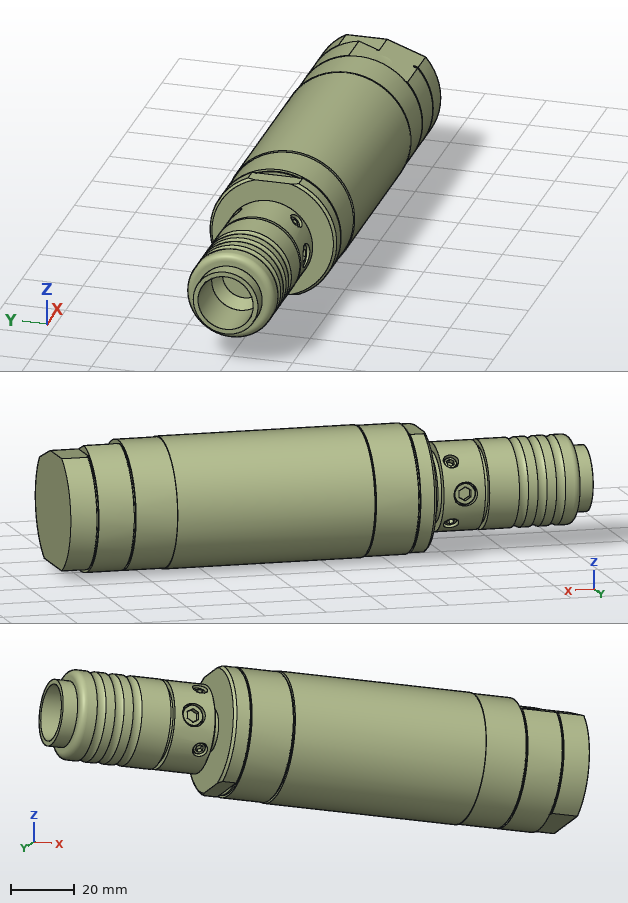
import cadquery as cq
import math

LENGTH = 173.5

NOSE_DIA = 21.2
BORE_DIA = 18.0
BORE_END_DIA = 13.9
BORE_DEPTH = 20.8
BORE_TAPER_LENGTH = 5.2

SLEEVE_START = 4.9
SLEEVE_END = 34.9
SLEEVE_DIA = 28.6
SLEEVE_ROUND = 2.0
RIB_GROOVE_COUNT = 3
RIB_GROOVE_FIRST = 10.0
RIB_GROOVE_PITCH = 6.0
RIB_GROOVE_WIDTH = 3.0
RIB_GROOVE_DEPTH = 0.5

COLLAR_START = 36.3
COLLAR_END = 49.8
COLLAR_DIA = 28.5
SLEEVE_GROOVE_DIA = 25.0
STEP_END = 51.0
STEP_DIA = 23.0
NECK_DIA = 14.0

HEAD_START = 53.8
HEAD_CHAMFER = 0.9
HEAD_END = 59.2
GRIP_START = 74.3
GRIP_END = 138.6
CAP_START = 152.2
WRENCH_START = 164.3
BODY_DIA = 41.5
GRIP_DIA = 42.0
BODY_GROOVE_DIA = 40.0
BODY_GROOVE_WIDTH = 0.6
BODY_GROOVE_STARTS = [
    HEAD_END,
    GRIP_START - BODY_GROOVE_WIDTH,
    CAP_START,
    WRENCH_START,
]

HEAD_FLAT = 38.0 / 2
WRENCH_FLAT = 36.1 / 2
CAP_FLAT_TILT = 20.0
CAP_DISH_DIA = 5.5
CAP_DISH_X = 159.5
CAP_DISH_DEPTH = 0.2

SIDE_SCREW_X = 42.7
SIDE_SCREW_HOLE_DIA = 7.6
SIDE_SCREW_DIA = 6.6
SIDE_SCREW_HEX = 3.8
SIDE_SCREW_ANGLES = [90, 270]
SMALL_SCREW_X = 46.3
SMALL_SCREW_HOLE_DIA = 4.9
SMALL_SCREW_DIA = 3.8
SMALL_SCREW_HEX = 2.3
SMALL_SCREW_ANGLES = [45, 135, 225, 315]
SCREW_HOLE_FLOOR = 12.1
SCREW_TOP = 13.4
SOCKET_DEPTH = 1.7


def cylinder(start, end, diameter):
    """Round bar on the X axis between two X positions."""
    return cq.Workplane("YZ", origin=(start, 0, 0)).circle(diameter / 2).extrude(end - start)


def ring_cut(start, width, floor_diameter):
    """Square groove cutter around the X axis."""
    outer = cylinder(start, start + width, 2 * GRIP_DIA)
    return outer.cut(cylinder(start, start + width, floor_diameter))


def radial_plane(x, angle, distance):
    """Plane facing away from the axis; angle is turned about X from +Z toward -Y."""
    tilt = math.radians(angle)
    normal = (0, -math.sin(tilt), math.cos(tilt))
    origin = (x, distance * normal[1], distance * normal[2])
    return cq.Workplane(cq.Plane(origin=origin, xDir=(1, 0, 0), normal=normal))


def flat_cut(start, end, angle, distance):
    """Cutter that leaves a flat at the given distance from the axis."""
    plane = radial_plane((start + end) / 2, angle, distance)
    return plane.rect(end - start, 2 * GRIP_DIA).extrude(GRIP_DIA)


def make_sleeve():
    """Sleeve with a rounded front and shallow arc-shaped rib grooves."""
    radius = SLEEVE_DIA / 2
    round_offset = SLEEVE_ROUND * (1 - math.sqrt(0.5))
    profile = (
        cq.Workplane("XY")
        .moveTo(SLEEVE_START, 0)
        .lineTo(SLEEVE_START, radius - SLEEVE_ROUND)
        .threePointArc(
            (SLEEVE_START + round_offset, radius - round_offset),
            (SLEEVE_START + SLEEVE_ROUND, radius),
        )
    )
    for index in range(RIB_GROOVE_COUNT):
        start = RIB_GROOVE_FIRST + index * RIB_GROOVE_PITCH
        profile = profile.lineTo(start, radius).threePointArc(
            (start + RIB_GROOVE_WIDTH / 2, radius - RIB_GROOVE_DEPTH),
            (start + RIB_GROOVE_WIDTH, radius),
        )
    profile = profile.lineTo(SLEEVE_END, radius).lineTo(SLEEVE_END, 0).close()
    return profile.revolve(360, (0, 0, 0), (1, 0, 0))


def make_bore():
    """Blind bore that narrows to a smaller flat bottom."""
    profile = (
        cq.Workplane("XY")
        .moveTo(0, 0)
        .lineTo(0, BORE_DIA / 2)
        .lineTo(BORE_DEPTH - BORE_TAPER_LENGTH, BORE_DIA / 2)
        .lineTo(BORE_DEPTH, BORE_END_DIA / 2)
        .lineTo(BORE_DEPTH, 0)
        .close()
    )
    return profile.revolve(360, (0, 0, 0), (1, 0, 0))


def make_front():
    """Nose, sleeve, collar and neck up to the body."""
    front = cylinder(0, SLEEVE_END, NOSE_DIA).union(make_sleeve()).cut(make_bore())
    front = front.union(cylinder(SLEEVE_END, COLLAR_START, SLEEVE_GROOVE_DIA))
    front = front.union(cylinder(COLLAR_START, COLLAR_END, COLLAR_DIA))
    front = front.union(cylinder(COLLAR_END, STEP_END, STEP_DIA))
    return front.union(cylinder(STEP_END, HEAD_START, NECK_DIA))


def make_cap_dish():
    """Round plug with a ball-shaped end that cuts a shallow dish into the tilted cap flat."""
    rim_radius = CAP_DISH_DIA / 2
    ball_radius = (rim_radius**2 + CAP_DISH_DEPTH**2) / (2 * CAP_DISH_DEPTH)
    ball_distance = WRENCH_FLAT - CAP_DISH_DEPTH + ball_radius
    ball_center = radial_plane(CAP_DISH_X, CAP_FLAT_TILT, ball_distance)
    ball = ball_center.sphere(ball_radius, direct=(0, 1, 0))
    plug = radial_plane(CAP_DISH_X, CAP_FLAT_TILT, WRENCH_FLAT - CAP_DISH_DEPTH)
    return ball.intersect(plug.circle(rim_radius).extrude(2 * CAP_DISH_DEPTH))


def make_body():
    """Main cylinder with its grip, grooves and flats."""
    body = cylinder(HEAD_START, LENGTH, BODY_DIA).faces("<X").chamfer(HEAD_CHAMFER)
    body = body.union(cylinder(GRIP_START, GRIP_END, GRIP_DIA))
    for start in BODY_GROOVE_STARTS:
        body = body.cut(ring_cut(start, BODY_GROOVE_WIDTH, BODY_GROOVE_DIA))
    for angle in [0, 180]:
        body = body.cut(flat_cut(HEAD_START, HEAD_END, angle, HEAD_FLAT))
        body = body.cut(flat_cut(WRENCH_START, LENGTH, angle, WRENCH_FLAT))
    body = body.cut(flat_cut(CAP_START, LENGTH, CAP_FLAT_TILT, WRENCH_FLAT))
    return body.cut(make_cap_dish())


def add_socket_screw(part, x, angle, hole_diameter, screw_diameter, hex_width):
    """Sink a hole into the collar and stand a hex-socket screw in it."""
    floor = radial_plane(x, angle, SCREW_HOLE_FLOOR)
    part = part.cut(floor.circle(hole_diameter / 2).extrude(COLLAR_DIA / 2 - SCREW_HOLE_FLOOR))
    part = part.union(floor.circle(screw_diameter / 2).extrude(SCREW_TOP - SCREW_HOLE_FLOOR))
    hex_corners = hex_width / math.cos(math.radians(30))
    top = radial_plane(x, angle, SCREW_TOP).transformed(rotate=(0, 0, 90))
    return part.cut(top.polygon(6, hex_corners).extrude(-SOCKET_DEPTH))


result = make_front().union(make_body())
for screw_angle in SIDE_SCREW_ANGLES:
    result = add_socket_screw(
        result, SIDE_SCREW_X, screw_angle, SIDE_SCREW_HOLE_DIA, SIDE_SCREW_DIA, SIDE_SCREW_HEX
    )
for screw_angle in SMALL_SCREW_ANGLES:
    result = add_socket_screw(
        result, SMALL_SCREW_X, screw_angle, SMALL_SCREW_HOLE_DIA, SMALL_SCREW_DIA, SMALL_SCREW_HEX
    )